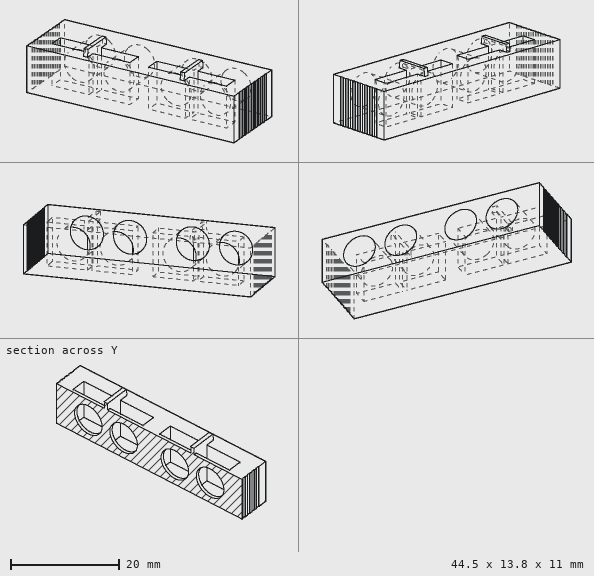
import cadquery as cq

LENGTH = 44.5
WIDTH = 13.75
BLOCK_HEIGHT = 9.5
TOTAL_HEIGHT = 11.0

POCKET_LENGTH = 16.75
POCKET_WIDTH = 3.05
POCKET_FRONT = 3.2
POCKET_END_MARGIN = 3.5
POCKET_FLOOR = 1.0
POCKET_CENTERS = (
    POCKET_END_MARGIN + POCKET_LENGTH / 2,
    LENGTH - POCKET_END_MARGIN - POCKET_LENGTH / 2,
)

BORE_DIAMETER = 6.5
BORE_OFFSET = 4.23
BORE_HEIGHT = BLOCK_HEIGHT / 2

LEVER_THICKNESS = 0.85
LEVER_SPACING = 20.75
LEVER_CENTERS = ((LENGTH - LEVER_SPACING) / 2, (LENGTH + LEVER_SPACING) / 2)
HEAD_BOTTOM_WIDTH = 6.95
HEAD_TOP_WIDTH = 6.5

GROOVE_COUNT = 8
GROOVE_MARGIN = 2.0
GROOVE_DEPTH = 0.1
GROOVE_WIDTH = (WIDTH - 2 * GROOVE_MARGIN) / (2 * GROOVE_COUNT - 1)

POCKET_MIDDLE = POCKET_FRONT + POCKET_WIDTH / 2


def box_at(corner, size):
    """Axis-aligned box from its lowest corner and its size."""
    return cq.Workplane("XY").box(*size, centered=False).translate(corner)


def pocket(center_x):
    """Material removed for one pocket."""
    return box_at(
        (center_x - POCKET_LENGTH / 2, POCKET_FRONT, POCKET_FLOOR),
        (POCKET_LENGTH, POCKET_WIDTH, BLOCK_HEIGHT - POCKET_FLOOR),
    )


def bore(center_x):
    """Cylinder along Y from the middle of the pocket to the back face."""
    return (
        cq.Workplane("XZ", origin=(center_x, POCKET_MIDDLE, BORE_HEIGHT))
        .circle(BORE_DIAMETER / 2)
        .extrude(-(WIDTH - POCKET_MIDDLE))
    )


def lever(center_x):
    """Pocket-wide stem with a tapered head resting on the block."""
    left = center_x - LEVER_THICKNESS / 2
    stem = box_at(
        (left, POCKET_FRONT, POCKET_FLOOR),
        (LEVER_THICKNESS, POCKET_WIDTH, BLOCK_HEIGHT - POCKET_FLOOR),
    )
    head = (
        cq.Workplane("YZ", origin=(left, POCKET_MIDDLE, 0))
        .moveTo(-HEAD_BOTTOM_WIDTH / 2, BLOCK_HEIGHT)
        .lineTo(HEAD_BOTTOM_WIDTH / 2, BLOCK_HEIGHT)
        .lineTo(HEAD_TOP_WIDTH / 2, TOTAL_HEIGHT)
        .lineTo(-HEAD_TOP_WIDTH / 2, TOTAL_HEIGHT)
        .close()
        .extrude(LEVER_THICKNESS)
    )
    return stem.union(head)


result = box_at((0, 0, 0), (LENGTH, WIDTH, BLOCK_HEIGHT))

for pocket_x in POCKET_CENTERS:
    result = result.cut(pocket(pocket_x))
    for side in (-1, 1):
        result = result.cut(bore(pocket_x + side * BORE_OFFSET))

for groove_index in range(GROOVE_COUNT):
    groove_y = GROOVE_MARGIN + 2 * groove_index * GROOVE_WIDTH
    for end_x in (0, LENGTH - GROOVE_DEPTH):
        groove_size = (GROOVE_DEPTH, GROOVE_WIDTH, BLOCK_HEIGHT)
        result = result.cut(box_at((end_x, groove_y, 0), groove_size))

for lever_x in LEVER_CENTERS:
    result = result.union(lever(lever_x))